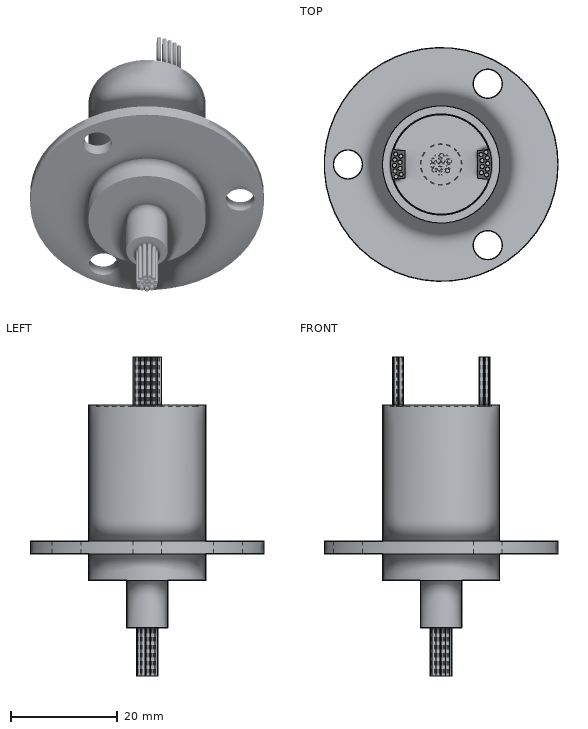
import cadquery as cq
import math

total_height = 60.0
wire_length = 9.0
neck_length = 9.0
flange_bottom = 23.0
flange_thickness = 2.4
neck_bottom = wire_length
body_bottom = neck_bottom + neck_length
body_top = total_height - wire_length

flange_diameter = 44.0
body_diameter = 22.0
neck_diameter = 7.8
neck_chamfer = 0.1

mount_hole_diameter = 5.4
mount_hole_radius = 17.5
mount_hole_count = 3

cap_bore_diameter = 19.0
cap_diameter = 18.7
cap_recess_depth = 0.3

window_depth = 0.3
window_inner_x = 6.85
window_inner_half_width = 2.6
window_outer_half_width = 2.8

wire_diameter = 0.8
bundle_skew = 1.2
outer_row_radius = 8.75
outer_row_count = 5
outer_row_step = 7.0
inner_row_radius = 7.75
inner_row_count = 4
inner_row_step = 8.5

lower_ring_radius = 1.7
lower_ring_count = 11
lower_ring_start = 185.0
lower_core_radius = 0.85
lower_core_count = 6


def cylinder(diameter, bottom, top):
    """Cylinder on the Z axis between two heights."""
    return cq.Workplane("XY").workplane(offset=bottom).circle(diameter / 2).extrude(top - bottom)


def polar_point(radius, angle):
    """Point at a radius and an angle in degrees from +X."""
    return (radius * math.cos(math.radians(angle)), radius * math.sin(math.radians(angle)))


def wires(points, bottom, top):
    """Parallel round wires standing between two heights."""
    plane = cq.Workplane("XY").workplane(offset=bottom)
    return plane.pushPoints(points).circle(wire_diameter / 2).extrude(top - bottom)


def row_points(radius, count, step):
    """Points of one arc-shaped wire row, centred near +X."""
    first_angle = bundle_skew - step * (count - 1) / 2
    return [polar_point(radius, first_angle + step * i) for i in range(count)]


def window_cut():
    """Wire window on the +X side, closed on the outside by the cap bore."""
    bore_radius = cap_bore_diameter / 2
    outer_x = math.sqrt(bore_radius**2 - window_outer_half_width**2)
    return (
        cq.Workplane("XY")
        .workplane(offset=body_top - window_depth)
        .moveTo(window_inner_x, -window_inner_half_width)
        .lineTo(outer_x, -window_outer_half_width)
        .threePointArc((bore_radius, 0), (outer_x, window_outer_half_width))
        .lineTo(window_inner_x, window_inner_half_width)
        .close()
        .extrude(window_depth)
    )


def housing():
    """Body, mounting flange and neck, with the flange holes."""
    flange = cylinder(flange_diameter, flange_bottom, flange_bottom + flange_thickness)
    holes = (
        cq.Workplane("XY")
        .workplane(offset=flange_bottom)
        .polarArray(mount_hole_radius, 180, 360, mount_hole_count)
        .circle(mount_hole_diameter / 2)
        .extrude(flange_thickness)
    )
    body = cylinder(body_diameter, body_bottom, body_top)
    neck = cylinder(neck_diameter, neck_bottom, body_bottom)
    neck = neck.faces("<Z").edges().chamfer(neck_chamfer)
    return flange.cut(holes).union(body).union(neck)


def cap_groove():
    """Thin ring that separates the cap from the body wall."""
    bore = cylinder(cap_bore_diameter, body_top - cap_recess_depth, body_top)
    return bore.cut(cylinder(cap_diameter, body_top - cap_recess_depth, body_top))


def upper_bundle():
    """Wires that rise from the window on the +X side."""
    points = row_points(outer_row_radius, outer_row_count, outer_row_step)
    points += row_points(inner_row_radius, inner_row_count, inner_row_step)
    return wires(points, body_top - window_depth, total_height)


def ring_points(radius, count, start_angle):
    """Points spread evenly on a circle."""
    step = 360 / count
    return [polar_point(radius, start_angle + step * i) for i in range(count)]


def lower_bundle():
    """Wires that hang from the neck: an outer ring, an inner ring and one in the middle."""
    points = [(0, 0)]
    points += ring_points(lower_core_radius, lower_core_count, lower_ring_start)
    points += ring_points(lower_ring_radius, lower_ring_count, lower_ring_start)
    return wires(points, 0, neck_bottom)


result = housing().cut(cap_groove())
for turn in (0, 180):
    result = result.cut(window_cut().rotate((0, 0, 0), (0, 0, 1), turn))
    result = result.union(upper_bundle().rotate((0, 0, 0), (0, 0, 1), turn))
result = result.union(lower_bundle())